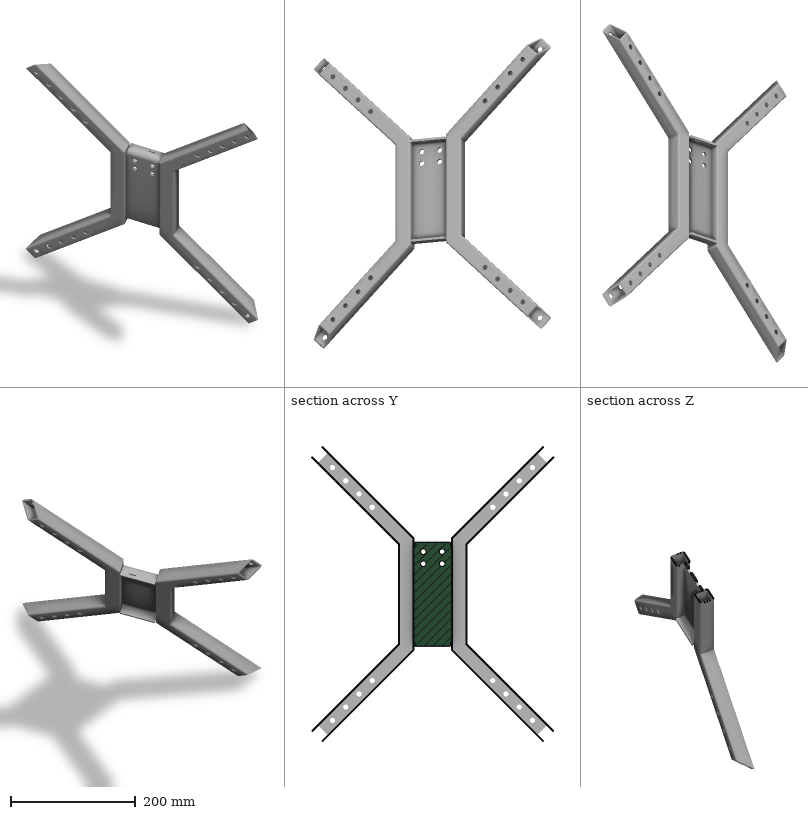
import cadquery as cq
import math

total_width = 399.0
total_height = 483.5

overall_depth = 27.0
plate_projection = 2.1
tube_size = overall_depth - plate_projection
tube_radius = 3.0
tube_wall = 2.0
tube_gap = 60.0

bolt_hole_radius = 4.1

arm_hole_count = 5
arm_hole_pitch = 30.0
arm_hole_tip_distance = 15.0

plate_thickness = 4.0
plate_bend_radius = 7.0
plate_height = 170.5
plate_front = 7.3
plate_back = overall_depth
flange_width = 58.0
relief_depth = 1.5

plate_hole_spacing_x = 30.0
plate_hole_spacing_z = 19.5
plate_hole_top_distance = 17.0

slot_length = 11.5
slot_width = 1.5
slot_x = 9.5
slot_back_distance = 6.0

tube_middle = tube_size / 2
post_x = tube_gap / 2 + tube_middle
post_half_length = total_height / 2 - (total_width / 2 - post_x)
corner_loss = (2 - math.sqrt(2)) * tube_radius
arm_length = (total_height / 2 - post_half_length) * math.sqrt(2) - tube_middle + corner_loss


def arm_point(side, end, distance, y):
    """Point at a distance along an arm from its bend; side and end are signs along X and Z."""
    step = distance / math.sqrt(2)
    return cq.Vector(side * (post_x + step), y, end * (post_half_length + step))


def swept_bar(side, size, radius):
    """Square bar with rounded edges along the centre line, with sharp mitres at the bends."""
    points = [
        arm_point(side, -1, arm_length, tube_middle),
        arm_point(side, -1, 0, tube_middle),
        arm_point(side, 1, 0, tube_middle),
        arm_point(side, 1, arm_length, tube_middle),
    ]
    path = cq.Workplane("XY").polyline(points)
    start = cq.Plane(origin=points[0], xDir=(0, 1, 0), normal=points[1] - points[0])
    section = cq.Sketch().rect(size, size).vertices().fillet(radius)
    return cq.Workplane(start).placeSketch(section).sweep(path, transition="right")


def end_cut(side, end):
    """Wedge that slopes an arm's end back at 45 degrees, leaving the front face longest."""
    tip = arm_point(side, end, arm_length, 0)
    across = cq.Vector(-end, 0, side)
    plane = cq.Plane(origin=tip, xDir=(side, 0, end), normal=across)
    back = tube_size * plane.yDir.y
    return (
        cq.Workplane(plane)
        .polyline([(0, 0), (0, back), (-tube_size, back)])
        .close()
        .extrude(tube_size, both=True)
    )


def arm_holes(side, end):
    """Row of drills through both walls of an arm."""
    drills = cq.Workplane("XY")
    for index in range(arm_hole_count):
        distance = arm_length - arm_hole_tip_distance - index * arm_hole_pitch
        center = arm_point(side, end, distance, 0)
        drill = cq.Solid.makeCylinder(bolt_hole_radius, tube_size, center, cq.Vector(0, 1, 0))
        drills = drills.add(drill)
    return drills.combine()


def side_frame(side):
    """Bent tube with sloped open ends; side is 1 for the +X frame and -1 for the -X frame."""
    frame = swept_bar(side, tube_size, tube_radius)
    frame = frame.cut(swept_bar(side, tube_size - 2 * tube_wall, tube_radius - tube_wall))
    for end in (1, -1):
        frame = frame.cut(end_cut(side, end)).cut(arm_holes(side, end))
    return frame


def plate_section(inset, radius):
    """Block with two rounded front edges, inset from the plate's outer skin."""
    depth = plate_back - plate_front - inset
    height = plate_height - 2 * inset
    block = cq.Workplane("XY").box(tube_gap, depth, height, centered=(True, False, True))
    return block.edges("|X and <Y").fillet(radius).translate((0, plate_front + inset, 0))


def corner_trims():
    """Four blocks that make the flanges and bends narrower than the web."""
    depth = plate_back - plate_front
    trim_width = (tube_gap - flange_width) / 2
    trim_height = plate_bend_radius + relief_depth
    return (
        cq.Workplane("XZ", origin=(0, plate_front, 0))
        .rarray(tube_gap - trim_width, plate_height - trim_height, 2, 2)
        .rect(trim_width, trim_height)
        .extrude(-depth)
    )


def plate_holes():
    """Pattern of four drills through the web."""
    pattern_z = plate_height / 2 - plate_hole_top_distance - plate_hole_spacing_z / 2
    return (
        cq.Workplane("XZ", origin=(0, plate_front, pattern_z))
        .rarray(plate_hole_spacing_x, plate_hole_spacing_z, 2, 2)
        .circle(bolt_hole_radius)
        .extrude(-plate_thickness)
    )


def flange_slot():
    """Narrow cutter through the top flange."""
    return (
        cq.Workplane("XY", origin=(slot_x, plate_back - slot_back_distance, plate_height / 2))
        .rect(slot_length, slot_width)
        .extrude(-plate_thickness)
    )


def center_plate():
    """Channel-shaped plate whose web fills the gap between the posts."""
    inner_radius = plate_bend_radius - plate_thickness
    channel = plate_section(0, plate_bend_radius)
    channel = channel.cut(plate_section(plate_thickness, inner_radius))
    return channel.cut(corner_trims()).cut(plate_holes()).cut(flange_slot())


side_frames = [side_frame(side).val() for side in (1, -1)]
plate = center_plate()
result = cq.Compound.makeCompound([*side_frames, plate.val()])